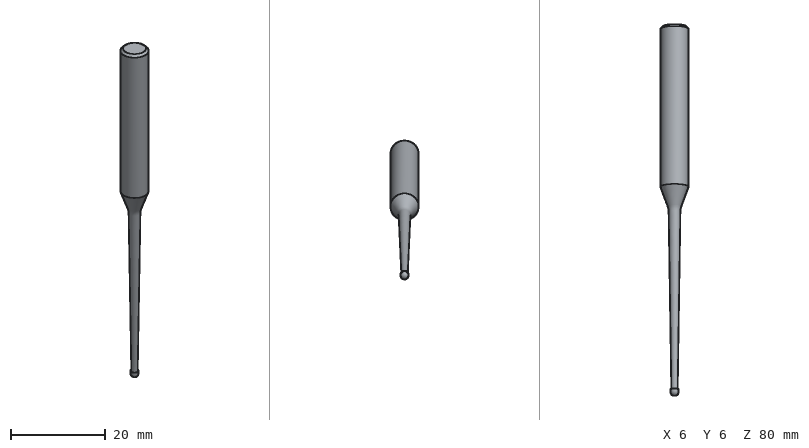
import cadquery as cq
import math

TOTAL_LENGTH = 80.0
SHANK_RADIUS = 3.0
SHANK_CHAMFER = 0.6

CONE_HALF_ANGLE = math.radians(20)
FILLET_RADIUS = 3.0
TAPER_TOP = 40.0
TAPER_TOP_RADIUS = 1.3
TAPER_BOTTOM = 2.8
NECK_RADIUS = 0.7

BALL_RADIUS = 0.9
HEAD_TOP = 1.4

HALF_PROFILE_PLANE = cq.Plane(origin=(0, 0, 0), xDir=(0, -1, 0), normal=(-1, 0, 0))


def fillet_point(angle):
    """Radius and height on the blend arc, angle 0 being its lower end."""
    radius = TAPER_TOP_RADIUS + FILLET_RADIUS * (1 - math.cos(angle))
    height = TAPER_TOP + FILLET_RADIUS * math.sin(angle)
    return radius, height


def make_holder():
    """Turned shank: chamfered cylinder, cone, blend, slender taper and neck."""
    fillet_middle = fillet_point(CONE_HALF_ANGLE / 2)
    fillet_end = fillet_point(CONE_HALF_ANGLE)
    cone_height = (SHANK_RADIUS - fillet_end[0]) / math.tan(CONE_HALF_ANGLE)
    shank_bottom = fillet_end[1] + cone_height
    profile = (
        cq.Workplane(HALF_PROFILE_PLANE)
        .moveTo(0, HEAD_TOP)
        .lineTo(NECK_RADIUS, HEAD_TOP)
        .lineTo(NECK_RADIUS, TAPER_BOTTOM)
        .lineTo(TAPER_TOP_RADIUS, TAPER_TOP)
        .threePointArc(fillet_middle, fillet_end)
        .lineTo(SHANK_RADIUS, shank_bottom)
        .lineTo(SHANK_RADIUS, TOTAL_LENGTH - SHANK_CHAMFER)
        .lineTo(SHANK_RADIUS - SHANK_CHAMFER, TOTAL_LENGTH)
        .lineTo(0, TOTAL_LENGTH)
        .close()
    )
    return profile.revolve(360, (0, 0), (0, 1))


def make_cutting_head():
    """Ball-nosed head: a hemisphere below a short cylinder, butted on the neck."""
    arc_side = BALL_RADIUS * math.sin(math.radians(45))
    profile = (
        cq.Workplane(HALF_PROFILE_PLANE)
        .moveTo(0, 0)
        .threePointArc((arc_side, BALL_RADIUS - arc_side), (BALL_RADIUS, BALL_RADIUS))
        .lineTo(BALL_RADIUS, HEAD_TOP)
        .lineTo(0, HEAD_TOP)
        .close()
    )
    return profile.revolve(360, (0, 0), (0, 1))


holder = make_holder()
cutting_head = make_cutting_head()

result = cq.Compound.makeCompound([holder.val(), cutting_head.val()])